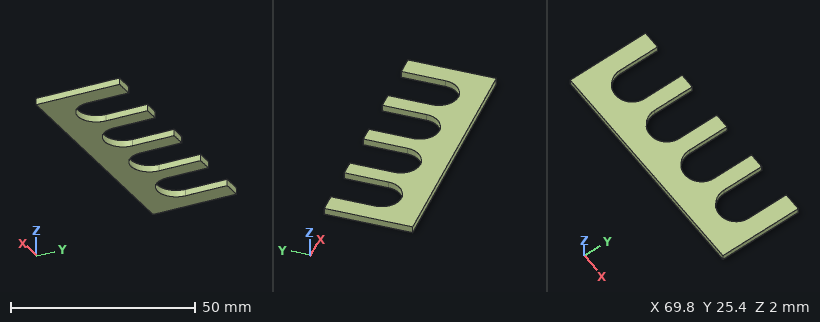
import cadquery as cq

length = 69.85
width = 25.4
thickness = 2.0

slot_count = 4
slot_pitch = 15.85
slot_width = 11.2
slot_depth = 18.3

slot_radius = slot_width / 2
open_edge_y = width / 2
arc_centre_y = open_edge_y - slot_depth + slot_radius


def slot_cutter(centre_x):
    """U-shaped cutter through the full plate thickness."""
    left = centre_x - slot_radius
    right = centre_x + slot_radius
    return (
        cq.Workplane("XY")
        .moveTo(left, open_edge_y)
        .lineTo(left, arc_centre_y)
        .threePointArc((centre_x, arc_centre_y - slot_radius), (right, arc_centre_y))
        .lineTo(right, open_edge_y)
        .close()
        .extrude(thickness / 2, both=True)
    )


result = cq.Workplane("XY").box(length, width, thickness)
for index in range(slot_count):
    slot_x = (index - (slot_count - 1) / 2) * slot_pitch
    result = result.cut(slot_cutter(slot_x))